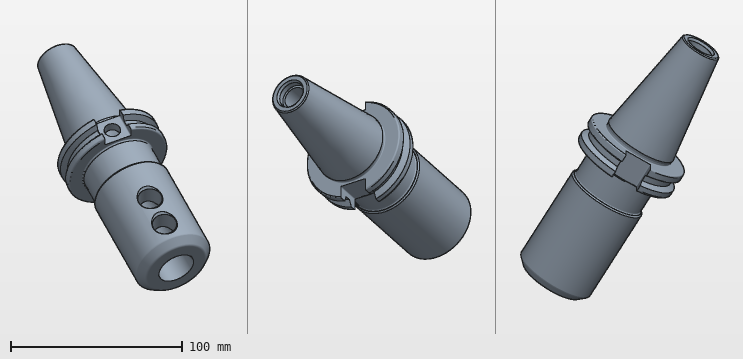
import cadquery as cq
import math

total_length = 169.8

taper_end_x = 68.0
taper_diameter = 44.5
taper_ratio = 7 / 24
taper_tip_diameter = taper_diameter - taper_ratio * taper_end_x
tip_chamfer = 0.7
relief_diameter = 43.7
relief_start_x = 69.6
relief_fillet = 0.5

flange_start_x = 71.2
flange_end_x = 87.3
flange_diameter = 63.5
flange_rear_round = 0.8
flange_front_round = 1.2
groove_diameter = 56.0
groove_floor_start_x = 77.3
groove_floor_end_x = 81.0
groove_rear_rise = 1.5
groove_front_rise = 2.0

neck_diameter = 44.5
neck_fillet = 0.8
body_diameter = 47.7
body_start_x = 105.8
body_edge_chamfer = 1.0
nose_length = 4.8
nose_corner_round = 1.2
nose_tip_round = 2.0

coolant_diameter = 13.5
socket_diameter = 16.3
socket_mouth_diameter = 18.0
socket_mouth_depth = 1.7
socket_depth = 5.3
tool_bore_diameter = 22.3
tool_bore_depth = 61.1

slot_width = 16.8
slot_corner_round = 0.7
upper_slot_floor = 24.8
lower_slot_floor = 23.0

dimple_diameter = 9.5
dimple_depth = 6.0
drill_point_angle = 118.0

screw_diameter = 14.3
screw_hole_xs = (132.7, 153.2)
screw_mouth_diameter = 17.0


def turned(points):
    """Revolve an (x, radius) outline around the X axis."""
    return cq.Workplane("XY").polyline(points).close().revolve(360, (0, 0, 0), (1, 0, 0))


def make_outer_body():
    flange_radius = flange_diameter / 2
    groove_radius = groove_diameter / 2
    neck_radius = neck_diameter / 2
    body_radius = body_diameter / 2
    nose_radius = body_radius - nose_length
    relief_radius = relief_diameter / 2
    tip_radius = taper_tip_diameter / 2
    outline = (
        cq.Workplane("XY")
        .moveTo(0, 0)
        .lineTo(0, tip_radius - tip_chamfer)
        .lineTo(tip_chamfer, tip_radius + tip_chamfer * taper_ratio / 2)
        .lineTo(taper_end_x, taper_diameter / 2)
        .lineTo(relief_start_x, relief_radius)
        .lineTo(flange_start_x - relief_fillet, relief_radius)
        .radiusArc((flange_start_x, relief_radius + relief_fillet), -relief_fillet)
        .lineTo(flange_start_x, flange_radius - flange_rear_round)
        .radiusArc((flange_start_x + flange_rear_round, flange_radius), flange_rear_round)
        .lineTo(groove_floor_start_x - groove_rear_rise, flange_radius)
        .lineTo(groove_floor_start_x, groove_radius)
        .lineTo(groove_floor_end_x, groove_radius)
        .lineTo(groove_floor_end_x + groove_front_rise, flange_radius)
        .lineTo(flange_end_x - flange_front_round, flange_radius)
        .radiusArc((flange_end_x, flange_radius - flange_front_round), flange_front_round)
        .lineTo(flange_end_x, neck_radius + neck_fillet)
        .radiusArc((flange_end_x + neck_fillet, neck_radius), -neck_fillet)
        .lineTo(body_start_x - neck_fillet, neck_radius)
        .radiusArc((body_start_x, neck_radius + neck_fillet), -neck_fillet)
        .lineTo(body_start_x, body_radius - body_edge_chamfer)
        .lineTo(body_start_x + body_edge_chamfer, body_radius)
        .lineTo(total_length - nose_length, body_radius)
        .lineTo(total_length, nose_radius)
        .lineTo(total_length, 0)
        .close()
    )
    body = outline.revolve(360, (0, 0, 0), (1, 0, 0))
    body = body.faces(">X").edges().fillet(nose_tip_round)
    nose_corner = cq.selectors.BoxSelector(
        (total_length - nose_length - nose_corner_round, -body_diameter, -body_diameter),
        (total_length - nose_length + nose_corner_round, body_diameter, body_diameter),
        boundingbox=True,
    )
    return body.edges(nose_corner).fillet(nose_corner_round)


def make_axial_bores():
    coolant_radius = coolant_diameter / 2
    socket_radius = socket_diameter / 2
    tool_bore_radius = tool_bore_diameter / 2
    tool_bore_start_x = total_length - tool_bore_depth
    return turned([
        (0, 0),
        (0, socket_mouth_diameter / 2),
        (socket_mouth_depth, socket_radius),
        (socket_depth, socket_radius),
        (socket_depth, coolant_radius),
        (tool_bore_start_x, coolant_radius),
        (tool_bore_start_x, tool_bore_radius),
        (total_length, tool_bore_radius),
        (total_length, 0),
    ])


def make_drive_slot(floor_height, side):
    """Slot across the flange rim; side is +1 above the axis and -1 below it."""
    length = flange_end_x - flange_start_x
    height = flange_diameter / 2 - floor_height
    center = ((flange_start_x + flange_end_x) / 2, 0, side * (floor_height + height / 2))
    slot = cq.Workplane("XY").box(length, slot_width, height)
    floor_face = "<Z" if side > 0 else ">Z"
    slot = slot.faces(floor_face).edges("|X").fillet(slot_corner_round)
    return slot.translate(center)


def make_dimple():
    radius = dimple_diameter / 2
    point_depth = radius / math.tan(math.radians(drill_point_angle / 2))
    wall_end = upper_slot_floor - dimple_depth
    return (
        cq.Workplane("XZ")
        .polyline([
            (0, upper_slot_floor),
            (radius, upper_slot_floor),
            (radius, wall_end),
            (0, wall_end - point_depth),
        ])
        .close()
        .revolve(360, (0, 0, 0), (0, 1, 0))
        .translate(((flange_start_x + flange_end_x) / 2, 0, 0))
    )


def make_screw_hole(x):
    """Radial hole into the tool bore with a 45 degree countersunk mouth."""
    radius = screw_diameter / 2
    mouth_radius = screw_mouth_diameter / 2
    top = body_diameter / 2
    return (
        cq.Workplane("XZ")
        .polyline([
            (0, 0),
            (radius, 0),
            (radius, top - (mouth_radius - radius)),
            (mouth_radius, top),
            (0, top),
        ])
        .close()
        .revolve(360, (0, 0, 0), (0, 1, 0))
        .translate((x, 0, 0))
    )


result = make_outer_body().cut(make_axial_bores())
result = result.cut(make_drive_slot(upper_slot_floor, 1))
result = result.cut(make_drive_slot(lower_slot_floor, -1))
result = result.cut(make_dimple())
for hole_x in screw_hole_xs:
    result = result.cut(make_screw_hole(hole_x))